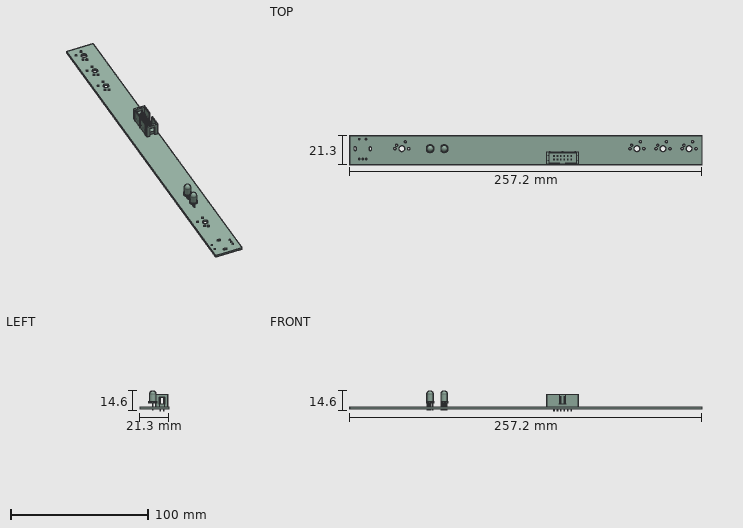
import cadquery as cq


BOARD_LENGTH = 257.2
BOARD_WIDTH = 21.3
BOARD_THICKNESS = 1.6

SWITCH_PITCH = 19.0
GRIDS_PER_SWITCH = 7.5
GRID = SWITCH_PITCH / GRIDS_PER_SWITCH
PART_ROW_Y = 1.18

LONE_SWITCH_X = -90.5
FIRST_GROUP_SWITCH_X = 81.0
GROUP_SWITCH_COUNT = 3
SWITCH_X = [LONE_SWITCH_X] + [FIRST_GROUP_SWITCH_X + i * SWITCH_PITCH for i in range(GROUP_SWITCH_COUNT)]
SWITCH_CENTRE_DIA = 4.0
SWITCH_SIDE_DIA = 1.7
SWITCH_PIN_DIA = 1.5
SWITCH_SIDE_OFFSET = 2 * GRID
SWITCH_PIN_OFFSETS = [(-1.5 * GRID, GRID), (GRID, 2 * GRID)]

ENCODER_X = -119.0
ENCODER_PIN_DIA = 1.0
ENCODER_PIN_COUNT = 3
ENCODER_PIN_PITCH = 2.5
ENCODER_PIN_Y = -7.5
ENCODER_SWITCH_Y = 7.0
ENCODER_SLOT_SPACING = 11.0
ENCODER_SLOT_LENGTH = 2.8
ENCODER_SLOT_WIDTH = 1.5

LED_X = [-70.0, -59.7]
LED_DIA = 5.0
LED_FLANGE_DIA = 6.0
LED_FLANGE_THICKNESS = 1.0
LED_FLANGE_Z = 3.0
LED_TOP_Z = 11.8
LED_LEAD_COUNT = 4
LED_LEAD_SIDE = 0.5
LED_LEAD_HOLE_DIA = 0.9
LED_LEAD_STICKOUT = 0.8
LED_LEAD_BOTTOM_Z = -BOARD_THICKNESS - LED_LEAD_STICKOUT

HEADER_X = 26.7
HEADER_EDGE_INSET = 0.8
HEADER_LENGTH = 23.1
HEADER_WIDTH = 8.7
HEADER_Y = -BOARD_WIDTH / 2 + HEADER_EDGE_INSET + HEADER_WIDTH / 2
HEADER_HEIGHT = 9.3
HEADER_END_WALL = 1.5
HEADER_SIDE_WALL = 0.8
HEADER_FLOOR = 2.3
KEY_NOTCH_WIDTH = 4.6
END_WINDOW_WIDTH = 3.9
END_WINDOW_HEIGHT = 7.0
RIB_COUNT = 3
RIB_WIDTH = 0.5
RIB_DEPTH = 0.39
RIB_SPACING = 9.3
HEADER_COLUMNS = 6
HEADER_ROWS = 2
HEADER_PIN_SIDE = 0.65
HEADER_PIN_HOLE_DIA = 1.0
HEADER_PIN_TOP_Z = 7.7
HEADER_PIN_STICKOUT = 1.23
HEADER_PIN_BOTTOM_Z = -BOARD_THICKNESS - HEADER_PIN_STICKOUT


def row(count, pitch):
    """Positions of `count` items spaced by `pitch`, centred on zero."""
    return [(i - (count - 1) / 2) * pitch for i in range(count)]


LED_LEADS = [(x, 0) for x in row(LED_LEAD_COUNT, GRID / 2)]
HEADER_PINS = [(x, y) for x in row(HEADER_COLUMNS, GRID) for y in row(HEADER_ROWS, GRID)]


def block(length, width, bottom, top, x=0.0, y=0.0):
    """Box centred on (x, y) between two heights."""
    shape = cq.Workplane("XY").box(length, width, top - bottom, centered=(True, True, False))
    return shape.translate((x, y, bottom))


def drill(board, points, diameter):
    """Cut round through-holes of one diameter."""
    return board.cut(
        cq.Workplane("XY").pushPoints(points).circle(diameter / 2).extrude(-BOARD_THICKNESS)
    )


def shifted(points, x, y):
    """The points moved by (x, y)."""
    return [(px + x, py + y) for px, py in points]


def make_board():
    """Board with the switch and encoder footprints and the lead holes of the mounted parts."""
    board = block(BOARD_LENGTH, BOARD_WIDTH, -BOARD_THICKNESS, 0)
    for x in SWITCH_X:
        sides = [(-SWITCH_SIDE_OFFSET, 0), (SWITCH_SIDE_OFFSET, 0)]
        board = drill(board, [(x, PART_ROW_Y)], SWITCH_CENTRE_DIA)
        board = drill(board, shifted(sides, x, PART_ROW_Y), SWITCH_SIDE_DIA)
        board = drill(board, shifted(SWITCH_PIN_OFFSETS, x, PART_ROW_Y), SWITCH_PIN_DIA)

    encoder_pins = [(x, ENCODER_PIN_Y) for x in row(ENCODER_PIN_COUNT, ENCODER_PIN_PITCH)]
    encoder_pins += [(x, ENCODER_SWITCH_Y) for x in row(2, 2 * ENCODER_PIN_PITCH)]
    board = drill(board, shifted(encoder_pins, ENCODER_X, PART_ROW_Y), ENCODER_PIN_DIA)
    slots = [(x, 0) for x in row(2, ENCODER_SLOT_SPACING)]
    board = board.cut(
        cq.Workplane("XY")
        .pushPoints(shifted(slots, ENCODER_X, PART_ROW_Y))
        .slot2D(ENCODER_SLOT_LENGTH, ENCODER_SLOT_WIDTH, 90)
        .extrude(-BOARD_THICKNESS)
    )

    for x in LED_X:
        board = drill(board, shifted(LED_LEADS, x, PART_ROW_Y), LED_LEAD_HOLE_DIA)
    return drill(board, shifted(HEADER_PINS, HEADER_X, HEADER_Y), HEADER_PIN_HOLE_DIA)


def make_led(x):
    """Domed LED standing above the board on a row of square leads."""
    radius = LED_DIA / 2
    dome_z = LED_TOP_Z - radius
    lens = cq.Workplane("XY").workplane(offset=LED_FLANGE_Z).circle(radius).extrude(dome_z - LED_FLANGE_Z)
    dome = cq.Workplane("XY").sphere(radius).translate((0, 0, dome_z))
    flange = (
        cq.Workplane("XY")
        .workplane(offset=LED_FLANGE_Z)
        .circle(LED_FLANGE_DIA / 2)
        .extrude(LED_FLANGE_THICKNESS)
    )
    flat = block(LED_DIA, LED_FLANGE_DIA, 0, LED_TOP_Z, x=-LED_DIA)
    led = lens.union(dome).union(flange.cut(flat))
    for lead_x, lead_y in LED_LEADS:
        lead = block(LED_LEAD_SIDE, LED_LEAD_SIDE, LED_LEAD_BOTTOM_Z, LED_FLANGE_Z, lead_x, lead_y)
        led = led.union(lead)
    return led.translate((x, PART_ROW_Y, 0))


def make_header():
    """Open box with a keyed -Y wall, windows in its ends, ribs on its +Y wall and two rows of pins."""
    header = block(HEADER_LENGTH, HEADER_WIDTH, 0, HEADER_HEIGHT)
    cavity_length = HEADER_LENGTH - 2 * HEADER_END_WALL
    cavity_width = HEADER_WIDTH - 2 * HEADER_SIDE_WALL
    header = header.cut(block(cavity_length, cavity_width, HEADER_FLOOR, HEADER_HEIGHT))

    wall_y = (HEADER_WIDTH - HEADER_SIDE_WALL) / 2
    header = header.cut(block(KEY_NOTCH_WIDTH, HEADER_SIDE_WALL, HEADER_FLOOR, HEADER_HEIGHT, y=-wall_y))
    for wall_x in row(2, HEADER_LENGTH - HEADER_END_WALL):
        header = header.cut(block(HEADER_END_WALL, END_WINDOW_WIDTH, 0, END_WINDOW_HEIGHT, x=wall_x))
    for rib_x in row(RIB_COUNT, RIB_SPACING):
        rib = block(RIB_WIDTH, RIB_DEPTH, 0, HEADER_HEIGHT, rib_x, (HEADER_WIDTH + RIB_DEPTH) / 2)
        header = header.union(rib)
    for x, y in HEADER_PINS:
        pin = block(HEADER_PIN_SIDE, HEADER_PIN_SIDE, HEADER_PIN_BOTTOM_Z, HEADER_PIN_TOP_Z, x, y)
        header = header.union(pin)
    return header.translate((HEADER_X, HEADER_Y, 0))


board = make_board()
leds = [make_led(x) for x in LED_X]
header = make_header()

result = cq.Compound.makeCompound([board.val(), *[led.val() for led in leds], header.val()])